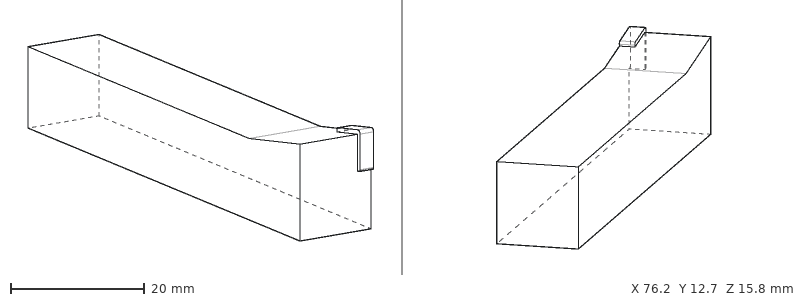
import cadquery as cq
import math

overall_length = 76.2
shank_side = 12.7
overall_height = 15.85
ramp_angle = math.radians(9.7)

tip_thickness = 0.7
tip_width = 2.45
tip_ramp_length = 5.7
tip_bottom = 9.4
end_rounding = 0.4
bend_radius = 0.5

shank_length = overall_length - tip_thickness

bend_inset = tip_thickness - bend_radius
bend_centre_rise = bend_inset * (1 / math.cos(ramp_angle) + math.tan(ramp_angle))
nose_height = overall_height - bend_radius - bend_centre_rise
ramp_start = shank_length - (nose_height - shank_side) / math.tan(ramp_angle)


def make_shank():
    """Square bar with the sloped nose, extruded across Y."""
    return (
        cq.Workplane("XZ")
        .polyline([
            (0, 0),
            (shank_length, 0),
            (shank_length, nose_height),
            (ramp_start, shank_side),
            (0, shank_side),
        ])
        .close()
        .extrude(-shank_side)
    )


def nose_point(along_ramp, above_ramp):
    """XZ point measured down the ramp from the nose corner and square to it."""
    return (
        shank_length - along_ramp * math.cos(ramp_angle) - above_ramp * math.sin(ramp_angle),
        nose_height - along_ramp * math.sin(ramp_angle) + above_ramp * math.cos(ramp_angle),
    )


def make_tip():
    """Strip of even thickness on the ramp and end face, flush with the +Y side."""
    corner_rise = tip_thickness * (1 / math.cos(ramp_angle) + math.tan(ramp_angle))
    strip = (
        cq.Workplane("XZ", origin=(0, shank_side - tip_width, 0))
        .moveTo(*nose_point(tip_ramp_length, 0))
        .lineTo(shank_length, nose_height)
        .lineTo(shank_length, tip_bottom)
        .lineTo(overall_length, tip_bottom)
        .lineTo(overall_length, nose_height + corner_rise)
        .lineTo(*nose_point(tip_ramp_length, tip_thickness))
        .close()
        .extrude(-tip_width)
    )
    strip = strip.edges("|Y").edges(">Z").fillet(bend_radius)
    strip = strip.edges("|Y").edges("<X").fillet(end_rounding)
    return strip.faces("<Z").edges(">X").fillet(end_rounding)


result = make_shank().union(make_tip())